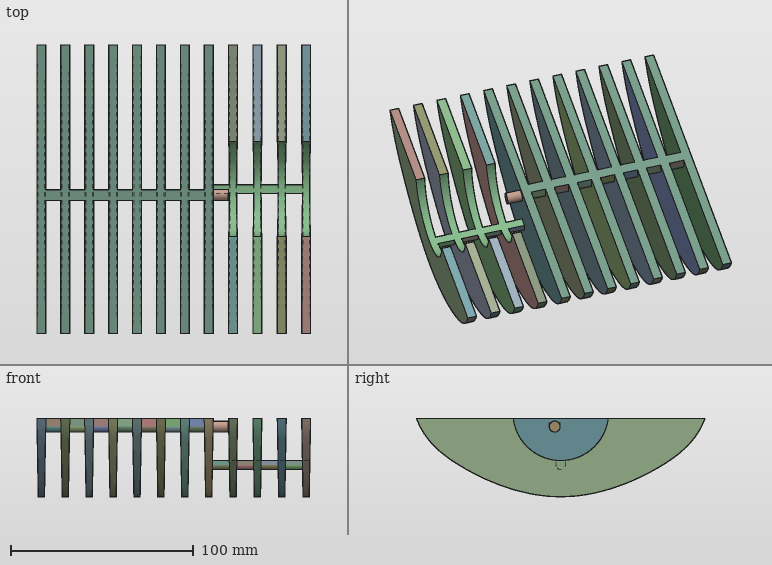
import cadquery as cq
import math

length = 149.9
fin_span = 158.03
fin_depth = 43.0
fin_thickness = 5.0
draft_angle = 1.0

half_keel = [(fin_span / 2, 0), (71.0, -13.3), (52.0, -27.8), (27.0, -38.7)]

main_count = 8
main_length = 96.6
cradle_count = 4
cradle_length = 45.0
cradle_start = length - cradle_length

bowl_half_width = 26.0
bowl_depth = 23.1
bowl_radius = (bowl_half_width**2 + bowl_depth**2) / (2 * bowl_depth)
bowl_axis_z = bowl_radius - bowl_depth

upper_radius = 3.0
upper_y = -3.3
upper_z = -4.5

lower_radius = 2.5
lower_y = 0.0
lower_z = -25.6

first_fin_middle = fin_thickness / 2
last_main_fin_middle = main_length - fin_thickness / 2
last_cradle_fin_middle = length - fin_thickness / 2


def fin_profile():
    """Solid with the fin outline, running the whole length of the part."""
    mirrored_half = [(-y, z) for y, z in reversed(half_keel)]
    keel = half_keel + [(0, -fin_depth)] + mirrored_half
    return cq.Workplane("YZ").moveTo(*keel[0]).spline(keel[1:], includeCurrent=True).close().extrude(length)


def drafted_slab(start_x):
    """Plate whose two broad faces lean inwards towards the bottom."""
    inset = fin_depth * math.tan(math.radians(draft_angle))
    end_x = start_x + fin_thickness
    section = [
        (start_x, 0),
        (end_x, 0),
        (end_x - inset, -fin_depth),
        (start_x + inset, -fin_depth),
    ]
    return cq.Workplane("XZ").polyline(section).close().extrude(fin_span / 2, both=True)


def fin_group(start_x, group_length, count):
    """Evenly spaced drafted fins filling group_length."""
    pitch = (group_length - fin_thickness) / (count - 1)
    slabs = cq.Workplane("XY")
    for index in range(count):
        slabs = slabs.add(drafted_slab(start_x + index * pitch))
    return slabs.combine().intersect(fin_profile())


def rod(start_x, end_x, y, z, radius):
    """Round rod along X."""
    return cq.Workplane("YZ", origin=(start_x, y, z)).circle(radius).extrude(end_x - start_x)


def round_bottom_bar(start_x, end_x, y, z, radius):
    """Rod carrying a block of the same width that rises from its axis to the top plane."""
    bar_length = end_x - start_x
    block = cq.Workplane("YZ", origin=(start_x, y, z / 2)).rect(2 * radius, -z).extrude(bar_length)
    return block.union(rod(start_x, end_x, y, z, radius))


def cradle():
    """Short fin group with its lower bar, hollowed by the bowl."""
    fins = fin_group(cradle_start, cradle_length, cradle_count)
    bar = round_bottom_bar(last_main_fin_middle, last_cradle_fin_middle, lower_y, lower_z, lower_radius)
    bowl = rod(last_main_fin_middle, length, 0, bowl_axis_z, bowl_radius)
    return fins.union(bar).cut(bowl)


def main_group():
    """Long fin group with its upper bar and the bare rod beyond the last fin."""
    fins = fin_group(0, main_length, main_count)
    bar = round_bottom_bar(first_fin_middle, last_main_fin_middle, upper_y, upper_z, upper_radius)
    bare_rod = rod(last_main_fin_middle, cradle_start, upper_y, upper_z, upper_radius)
    return fins.union(bar).union(bare_rod)


result = main_group().union(cradle())